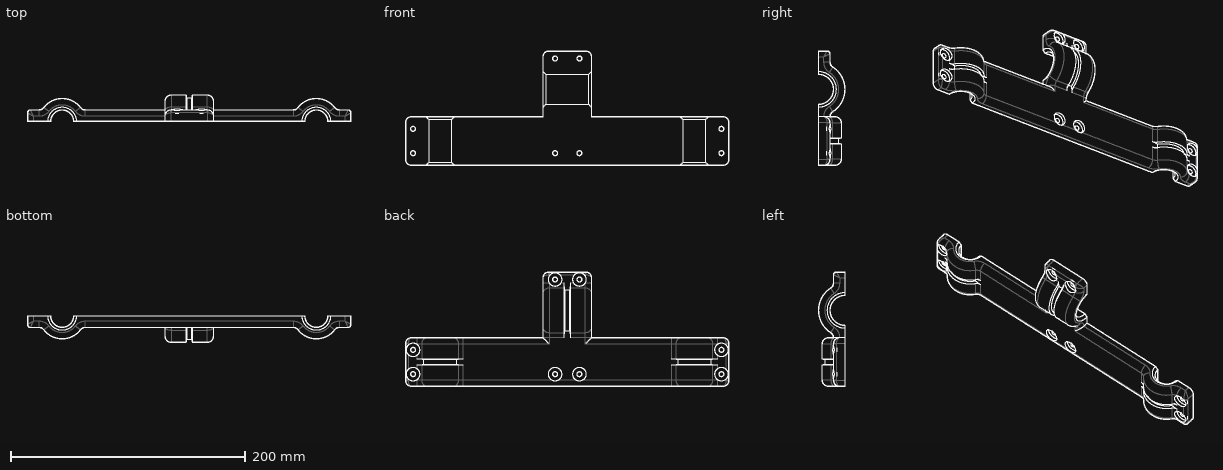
import cadquery as cq

overall_length = 275.84
overall_height = 97.5
plate_thickness = 10.0
strip_width = 41.5

clamp_wall = 10.0
bar_bore_radius = 9.72
arm_bore_radius = 12.72
bar_pad_length = 19.8
arm_pad_length = 20.0
bore_chamfer = 2.5
tie_groove_mouth = 5.3
tie_groove_floor = 4.2
tie_groove_depth = 2.5

blend_radius = 5.0
side_radius = 5.5
corner_radius = 5.0
end_radius = 2.5

screw_diameter = 4.0
screw_head_diameter = 11.5
screw_head_depth = 3.0
screw_head_clearance = 3.0
screw_end_distance = 6.4
screw_spacing = strip_width / 2
lower_screw_height = strip_width / 4

pick_margin = 0.1

bar_half_length = overall_length / 2
bar_clamp_x = bar_half_length - bar_pad_length - bar_bore_radius
arm_clamp_z = overall_height - arm_pad_length - arm_bore_radius
arm_start_z = strip_width / 2


def cylinder_along_z(x, radius):
    """Cylinder parallel to Z, one strip width long, whose axis lies on the front plane y = 0."""
    return cq.Workplane("XY").center(x, 0).circle(radius).extrude(strip_width)


def edges_near(solid, selector, low, high):
    """Edges picked by a selector whose centers also lie inside a box."""
    return solid.edges(selector).edges(cq.selectors.BoxSelector(low, high))


def arched_strip(x_start, x_end, clamp_positions, bore_radius):
    """Plate along X with solid arches, rounded along both back edges; z runs from 0 to strip_width."""
    outer_radius = bore_radius + clamp_wall
    depth_limit = 2 * outer_radius
    strip = cq.Workplane("XY").box(
        x_end - x_start, plate_thickness, strip_width, centered=False
    ).translate((x_start, 0, 0))
    for x in clamp_positions:
        strip = strip.union(cylinder_along_z(x, outer_radius))
    front_space = cq.Workplane("XY").box(
        2 * (x_end - x_start), depth_limit, 2 * strip_width, centered=(True, False, True)
    ).translate(((x_start + x_end) / 2, -depth_limit, strip_width / 2))
    strip = strip.cut(front_space)

    valley_low = (x_start + pick_margin, plate_thickness - pick_margin, 0)
    valley_high = (x_end - pick_margin, plate_thickness + pick_margin, strip_width)
    strip = edges_near(strip, "|Z", valley_low, valley_high).fillet(blend_radius)

    side_low = (x_start + pick_margin, pick_margin, -pick_margin)
    side_high = (x_end - pick_margin, depth_limit, strip_width + pick_margin)
    return edges_near(strip, "#Z", side_low, side_high).fillet(side_radius)


def round_free_end(strip, x_end, direction):
    """Round the two corners and the back edge of the free end at x_end (direction is +1 or -1)."""
    reach = 2 * overall_length
    outline = (
        cq.Workplane("XY").box(reach, 2 * plate_thickness, strip_width)
        .edges("|Y").fillet(corner_radius)
        .translate((x_end - direction * reach / 2, 0, strip_width / 2))
    )
    pad_box = cq.Workplane("XY").box(
        2 * corner_radius, 4 * plate_thickness, 2 * strip_width
    ).translate((x_end, 0, strip_width / 2))
    strip = strip.cut(pad_box.cut(outline))

    inner_x = x_end - direction * (corner_radius - pick_margin)
    outer_x = x_end + direction * pick_margin
    low = (min(inner_x, outer_x), plate_thickness - side_radius - pick_margin, 0)
    high = (max(inner_x, outer_x), plate_thickness + pick_margin, strip_width)
    return strip.edges(cq.selectors.BoxSelector(low, high)).fillet(end_radius)


def cut_clamp(strip, x, bore_radius):
    """Cut the tube bore, its chamfered mouths and the tie groove over the arch at x."""
    bore = cylinder_along_z(x, bore_radius)
    mouth = (
        cq.Workplane("XY").center(x, 0).circle(bore_radius + bore_chamfer)
        .workplane(offset=bore_chamfer).circle(bore_radius).loft()
    )
    far_mouth = mouth.mirror("XY").translate((0, 0, strip_width))

    outer_radius = bore_radius + clamp_wall
    floor_radius = outer_radius - tie_groove_depth
    middle_z = strip_width / 2
    rim_radius = outer_radius + blend_radius
    section = [
        (floor_radius, middle_z - tie_groove_floor / 2),
        (outer_radius, middle_z - tie_groove_mouth / 2),
        (rim_radius, middle_z - tie_groove_mouth / 2),
        (rim_radius, middle_z + tie_groove_mouth / 2),
        (outer_radius, middle_z + tie_groove_mouth / 2),
        (floor_radius, middle_z + tie_groove_floor / 2),
    ]
    ring = cq.Workplane("XZ").polyline(section).close().revolve(360, (0, 0, 0), (0, 1, 0))
    ring_space = cq.Workplane("XY").box(
        2 * rim_radius, rim_radius, strip_width, centered=(True, False, False)
    ).translate((0, plate_thickness, 0))
    groove = ring.intersect(ring_space).translate((x, 0, 0))
    return strip.cut(bore).cut(mouth).cut(far_mouth).cut(groove)


def make_bar():
    bar = arched_strip(
        -bar_half_length, bar_half_length, (-bar_clamp_x, bar_clamp_x), bar_bore_radius
    )
    for direction in (-1, 1):
        bar = round_free_end(bar, direction * bar_half_length, direction)
        bar = cut_clamp(bar, direction * bar_clamp_x, bar_bore_radius)
    return bar


def make_arm():
    """Arm built along X, then turned upright and centered on x = 0."""
    arm = arched_strip(arm_start_z, overall_height, (arm_clamp_z,), arm_bore_radius)
    arm = round_free_end(arm, overall_height, 1)
    arm = cut_clamp(arm, arm_clamp_z, arm_bore_radius)
    return arm.rotate((0, 0, 0), (0, 1, 0), -90).translate((strip_width / 2, 0, 0))


def screw_positions():
    """(x, z) of every screw hole: a pair on each free end and a pair low on the bar."""
    positions = []
    for side in (-1, 1):
        offset = side * screw_spacing / 2
        positions.append((-bar_half_length + screw_end_distance, strip_width / 2 + offset))
        positions.append((bar_half_length - screw_end_distance, strip_width / 2 + offset))
        positions.append((offset, overall_height - screw_end_distance))
        positions.append((offset, lower_screw_height))
    return positions


def screw_cutter(x, z):
    """Through hole with a head recess sunk into the back of the plate."""
    back_plane = cq.Workplane("XZ", origin=(x, plate_thickness, z))
    shank = back_plane.circle(screw_diameter / 2).extrude(plate_thickness)
    head_radius = screw_head_diameter / 2
    head = (
        back_plane.workplane(offset=-screw_head_clearance)
        .circle(head_radius).extrude(screw_head_clearance + screw_head_depth)
    )
    return shank.union(head)


result = make_bar().union(make_arm())
for hole_x, hole_z in screw_positions():
    result = result.cut(screw_cutter(hole_x, hole_z))